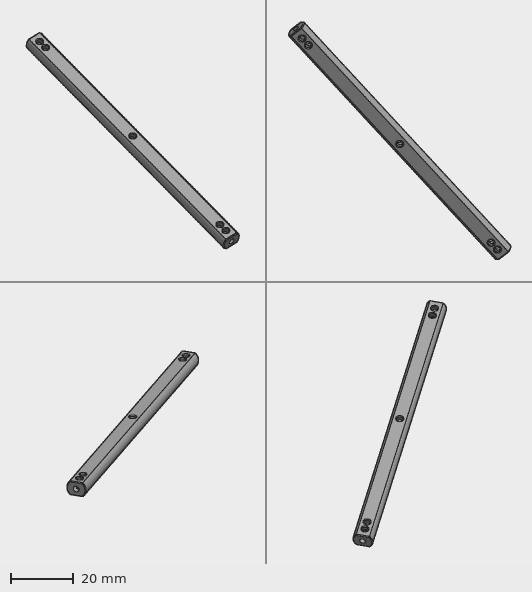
import math

import cadquery as cq

length = 103.1
rod_diameter = 6.6
flat_width = 4.3
height_over_flats = math.sqrt(rod_diameter**2 - flat_width**2)
end_chamfer = 0.3

bore_diameter = 2.0
cross_hole_diameter = 2.0
countersink_diameter = 2.6
countersink_angle = 90
end_hole_inset = 3.1
hole_pitch = 3.1

outer_hole_x = length / 2 - end_hole_inset
inner_hole_x = outer_hole_x - hole_pitch
cross_hole_positions = [-outer_hole_x, -inner_hole_x, 0, inner_hole_x, outer_hole_x]


def flatted_bar():
    """Chamfered round rod cut down to two flats at the top and bottom."""
    rod = cq.Workplane("YZ").circle(rod_diameter / 2).extrude(length / 2, both=True)
    slab = cq.Workplane("XY").box(length, rod_diameter, height_over_flats)
    return rod.intersect(slab).faces("<X or >X").chamfer(end_chamfer)


def drill_cross_holes(body):
    """Through holes across the flats, countersunk at both mouths."""
    for flat in (">Z", "<Z"):
        body = (
            body.faces(flat)
            .workplane(origin=(0, 0, 0))
            .pushPoints([(x, 0) for x in cross_hole_positions])
            .cskHole(cross_hole_diameter, countersink_diameter, countersink_angle)
        )
    return body


bar = drill_cross_holes(flatted_bar())
bore = cq.Workplane("YZ").circle(bore_diameter / 2).extrude(length / 2, both=True)
result = bar.cut(bore)